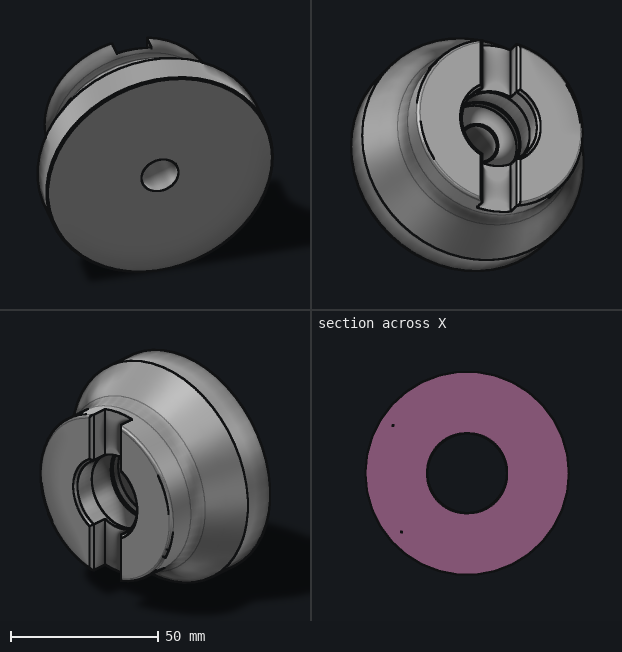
import cadquery as cq
import math

length = 40.0
flange_radius = 39.95
neck_diameter = 60.0
neck_radius = neck_diameter / 2
neck_length = 10.0
flare_radius = 10.0
cone_end = 28.05
neck_edge_radius = 1.0
flange_chamfer = 0.5

entry_diameter = 27.0
entry_depth = 8.4
bore_diameter = 27.1
groove_diameter = 27.3
groove_start = 18.3
groove_width = 1.0
bore_depth = 22.0
bore_chamfer = 1.0
hole_diameter = 13.0
hole_chamfer = 0.5

slot_width = 12.2
slot_depth = 6.9
slot_chamfer = 1.0


def turned_body():
    centre_radius = neck_radius + flare_radius
    run = cone_end - neck_length
    drop = centre_radius - flange_radius
    cone_angle = math.asin(flare_radius / math.hypot(run, drop)) - math.atan2(drop, run)

    def flare_point(angle):
        return (
            neck_length + flare_radius * math.sin(angle),
            centre_radius - flare_radius * math.cos(angle),
        )

    profile = (
        cq.Workplane("XY")
        .lineTo(0, neck_radius)
        .lineTo(neck_length, neck_radius)
        .threePointArc(flare_point(cone_angle / 2), flare_point(cone_angle))
        .lineTo(cone_end, flange_radius)
        .lineTo(length, flange_radius)
        .lineTo(length, 0)
        .close()
    )
    body = profile.revolve(360, (0, 0, 0), (1, 0, 0))
    body = body.faces("<X").edges().fillet(neck_edge_radius)
    return body.faces(">X").edges().chamfer(flange_chamfer)


def bore():
    entry_radius = entry_diameter / 2
    bore_radius = bore_diameter / 2
    groove_radius = groove_diameter / 2
    hole_radius = hole_diameter / 2
    groove_end = groove_start + groove_width
    profile = (
        cq.Workplane("XY")
        .lineTo(0, entry_radius + bore_chamfer)
        .lineTo(bore_chamfer, entry_radius)
        .lineTo(entry_depth, entry_radius)
        .lineTo(entry_depth, bore_radius)
        .lineTo(groove_start, bore_radius)
        .lineTo(groove_start, groove_radius)
        .lineTo(groove_end, groove_radius)
        .lineTo(groove_end, bore_radius)
        .lineTo(bore_depth, bore_radius)
        .lineTo(bore_depth, hole_radius + hole_chamfer)
        .lineTo(bore_depth + hole_chamfer, hole_radius)
        .lineTo(length, hole_radius)
        .lineTo(length, 0)
        .close()
    )
    return profile.revolve(360, (0, 0, 0), (1, 0, 0))


def slot():
    half_width = slot_width / 2
    mouth = half_width + slot_chamfer
    return (
        cq.Workplane("XY")
        .polyline([
            (0, -mouth),
            (slot_chamfer, -half_width),
            (slot_depth, -half_width),
            (slot_depth, half_width),
            (slot_chamfer, half_width),
            (0, mouth),
        ])
        .close()
        .extrude(flange_radius, both=True)
    )


result = turned_body().cut(bore()).cut(slot())